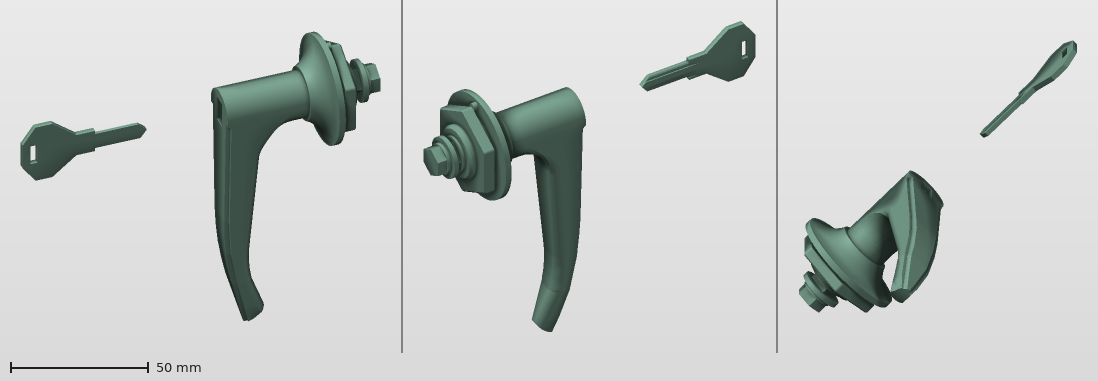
import cadquery as cq
import math


BELL_FRONT_Y = 31.7
FLANGE_FRONT_Y = 38.8
FLANGE_BACK_Y = 41.1
NUT_FRONT_Y = 43.0
NUT_BACK_Y = 47.1
BARREL_END_Y = 49.8
COLLAR_END_Y = 50.8
SQUARE_END_Y = 53.3
WASHER_BACK_Y = 55.1
HEAD_FRONT_Y = 56.6
HEAD_BACK_Y = 60.5

HUB_R = 8.9
ARM_BACK_Y = 25.6
ELBOW_R = 12.3
ELBOW_TRIM_GAP = 0.03
BACK_SLOPE = 4.1
BACK_BEND_Y, BACK_BEND_Z = 10.1, -61.0
BACK_BEND_MID_Y, BACK_BEND_MID_Z = 10.3, -68.1
TIP_BEND_Z = -75.8
BACK_LOWER_Y = 11.5
TIP_BACK_Y, TIP_BACK_Z = 16.9, -89.6
TIP_END_MID_Y, TIP_END_MID_Z = 13.7, -93.3
TIP_FRONT_Y, TIP_FRONT_Z = 9.2, -96.1
TIP_APEX_Z = -96.5
FRONT_BEND_Z = -45.9
FRONT_BEND_MID_Y, FRONT_BEND_MID_Z = 1.0, -61.0
FRONT_LOWER_Y = 3.7
TIP_BEND_HALF_W = 5.9
TIP_TAPER_Z, TIP_TAPER_HALF_W = -88.3, 4.0
TIP_ROUND_Z, TIP_ROUND_HALF_W = -93.6, 2.6
BACK_EDGE_R = 3.4
LEDGE_W = 2.0
LEDGE_DEPTH = 1.4
LEDGE_TOP_Z = -2.2
LEDGE_START_Z, LEDGE_START_DEPTH = -1.1, 0.1
LEDGE_WALL_W = 0.8
KEYHOLE_W, KEYHOLE_H, KEYHOLE_DEPTH = 5.6, 10.0, 1.2
KEYWAY_W, KEYWAY_H, KEYWAY_DEPTH = 2.2, 6.6, 21.9

SPINDLE_R = 7.0
SQUARE_SIDE = 8.1
BOLT_R = 3.0
BOLT_HOLE_DEPTH = 8.2

FLANGE_R = 21.0
BELL_FRONT_R = 10.3
BELL_MID_R, BELL_MID_Y = 14.8, 37.0
NECK_R = 13.6
BARREL_R = 10.5
BARREL_CHAMFER = 1.0
PIN_R = 1.5
PIN_Z = 18.4

NUT_FLATS = 32.1
NUT_EDGE_R = 1.2
NUT_CHAMFER = 0.5
WASHER_R = 8.1
BOLT_FLATS = 10.1
BOLT_COLLAR_R = 6.0

KEY_T = 2.0
KEY_TIP_Y = -28.5
BLADE_TOP_Y = -32.0
BLADE_BOTTOM_Y = -31.0
BLADE_HALF_H = 3.2
SHOULDER_Y = -48.5
SHOULDER_HALF_H = 4.5
BOW_NECK_Y = -55.8
BOW_WIDE_Y = -65.1
BOW_CORNER_Y = -71.7
BOW_HALF_H = 11.9
KEY_END_Y = HEAD_BACK_Y - 137
BOW_END_HALF_H = 5.1
BOW_SLOT_Y, BOW_SLOT_W, BOW_SLOT_H = -72.2, 2.6, 8.0
RIB_TOP_Z, RIB_BOTTOM_Z = 1.5, -1.0
RELIEF_TOP_Z, RELIEF_BOTTOM_Z = 2.7, -3.5
RELIEF_DEPTH = 0.4
RELIEF_RUNOUT_MID_DEPTH = 0.3
RELIEF_END_Y = -52.1


def at_y(y):
    """Workplane across the spindle at station y; local x is X and local y is Z."""
    return cq.Workplane("XZ", origin=(0, y, 0))


def cylinder(radius, start, end):
    return at_y(start).circle(radius).extrude(start - end)


def hexagon(flats, start, end):
    """Hexagonal prism with one corner toward +Z."""
    corners = flats / math.cos(math.radians(30))
    return at_y(start).transformed(rotate=(0, 0, 90)).polygon(6, corners).extrude(start - end)


def side_outline():
    """Profile of the arm in the YZ plane, drawn from the hub down to the tip."""
    slope = math.radians(BACK_SLOPE)
    elbow_y, elbow_z = ARM_BACK_Y, -HUB_R - ELBOW_R

    def on_elbow(angle):
        return elbow_y - ELBOW_R * math.sin(angle), elbow_z + ELBOW_R * math.cos(angle)

    elbow_end = math.pi / 2 - slope
    return (
        cq.Workplane("YZ")
        .moveTo(0, 0)
        .lineTo(ARM_BACK_Y, 0)
        .lineTo(*on_elbow(0))
        .threePointArc(on_elbow(elbow_end / 2), on_elbow(elbow_end))
        .lineTo(BACK_BEND_Y, BACK_BEND_Z)
        .threePointArc((BACK_BEND_MID_Y, BACK_BEND_MID_Z), (BACK_LOWER_Y, TIP_BEND_Z))
        .lineTo(TIP_BACK_Y, TIP_BACK_Z)
        .threePointArc((TIP_END_MID_Y, TIP_END_MID_Z), (TIP_FRONT_Y, TIP_FRONT_Z))
        .lineTo(FRONT_LOWER_Y, TIP_BEND_Z)
        .threePointArc((FRONT_BEND_MID_Y, FRONT_BEND_MID_Z), (0, FRONT_BEND_Z))
        .close()
    )


def arm_outline(end_half_w, end_z):
    """Corners of the tapered arm in the XZ plane, right side downward and left side upward."""
    right = [
        (HUB_R, 0),
        (TIP_BEND_HALF_W, TIP_BEND_Z),
        (TIP_TAPER_HALF_W, TIP_TAPER_Z),
        (end_half_w, end_z),
    ]
    left = [(-x, z) for x, z in reversed(right)]
    return right, left


def arm_front():
    """Prism of the arm outline with its rounded tip, running along the spindle."""
    right, left = arm_outline(TIP_ROUND_HALF_W, TIP_ROUND_Z)
    outline = at_y(0).polyline(right).threePointArc((0, TIP_APEX_Z), left[0])
    return outline.polyline(left[1:], includeCurrent=True).close().extrude(-ARM_BACK_Y)


def arm_blank():
    """Arm with tapering sides and rounded back edges, before its tip is rounded."""
    right, left = arm_outline(TIP_ROUND_HALF_W, TIP_APEX_Z)
    wedge = at_y(0).polyline(right + left).close().extrude(-ARM_BACK_Y)
    blank = side_outline().extrude(HUB_R, both=True).intersect(wedge)
    back_region = cq.selectors.BoxSelector((-HUB_R, TIP_FRONT_Y, TIP_BACK_Z), (HUB_R, ARM_BACK_Y, -HUB_R))
    return blank.edges(cq.selectors.StringSyntaxSelector("not |X") & back_region).fillet(BACK_EDGE_R)


def elbow_cutter():
    """Ring that trims the elbow to a round section growing out of the hub."""
    start_r = HUB_R + ELBOW_TRIM_GAP
    end_r = start_r + ELBOW_R
    mid = ELBOW_R * math.sin(math.pi / 4)
    return (
        cq.Workplane("XY")
        .moveTo(start_r, ARM_BACK_Y)
        .threePointArc((end_r - mid, ARM_BACK_Y - mid), (end_r, ARM_BACK_Y - ELBOW_R))
        .lineTo(end_r, ARM_BACK_Y)
        .close()
        .revolve(360, (0, 0, 0), (0, 1, 0))
    )


def ledge_cutter():
    """Material removed along the right front edge: a flat ledge with a sloping inner wall."""

    def section(half_w, front_y, z, depth):
        strip_x = half_w - LEDGE_W
        outer_x = half_w + LEDGE_W
        start_y = front_y - LEDGE_DEPTH
        floor_y = front_y + depth
        corners = [
            (strip_x - LEDGE_WALL_W, start_y),
            (outer_x, start_y),
            (outer_x, floor_y),
            (strip_x + LEDGE_WALL_W * depth / LEDGE_DEPTH, floor_y),
        ]
        return cq.Wire.makePolygon([cq.Vector(x, y, z) for x, y in corners], close=True)

    def side_x(z):
        return HUB_R + (TIP_BEND_HALF_W - HUB_R) * z / TIP_BEND_Z

    taper_fraction = (TIP_TAPER_Z - TIP_BEND_Z) / (TIP_FRONT_Z - TIP_BEND_Z)
    taper_y = FRONT_LOWER_Y + (TIP_FRONT_Y - FRONT_LOWER_Y) * taper_fraction
    stations = [
        section(side_x(LEDGE_START_Z), 0, LEDGE_START_Z, LEDGE_START_DEPTH),
        section(side_x(LEDGE_TOP_Z), 0, LEDGE_TOP_Z, LEDGE_DEPTH),
        section(side_x(FRONT_BEND_Z), 0, FRONT_BEND_Z, LEDGE_DEPTH),
        section(side_x(FRONT_BEND_MID_Z), FRONT_BEND_MID_Y, FRONT_BEND_MID_Z, LEDGE_DEPTH),
        section(TIP_BEND_HALF_W, FRONT_LOWER_Y, TIP_BEND_Z, LEDGE_DEPTH),
        section(TIP_TAPER_HALF_W, taper_y, TIP_TAPER_Z, LEDGE_DEPTH),
        section(TIP_ROUND_HALF_W, TIP_FRONT_Y, TIP_FRONT_Z, LEDGE_DEPTH),
    ]
    return cq.Workplane(cq.Solid.makeLoft(stations, True))


def make_handle():
    arm = arm_blank().cut(elbow_cutter()).intersect(arm_front())
    ledge = ledge_cutter()
    spindle = (
        cylinder(HUB_R, 0, BELL_FRONT_Y)
        .union(cylinder(SPINDLE_R, BELL_FRONT_Y, COLLAR_END_Y))
        .union(
            at_y(COLLAR_END_Y)
            .transformed(rotate=(0, 0, 45))
            .rect(SQUARE_SIDE, SQUARE_SIDE)
            .extrude(COLLAR_END_Y - SQUARE_END_Y)
        )
    )
    keyhole = at_y(0).rect(KEYHOLE_W, KEYHOLE_H).extrude(-KEYHOLE_DEPTH)
    keyway = at_y(0).rect(KEYWAY_W, KEYWAY_H).extrude(-KEYWAY_DEPTH)
    bolt_hole = cylinder(BOLT_R, SQUARE_END_Y - BOLT_HOLE_DEPTH, SQUARE_END_Y)
    body = spindle.union(arm).cut(ledge).cut(ledge.mirror("YZ"))
    return body.cut(keyhole).cut(keyway).cut(bolt_hole)


def make_rosette():
    body = (
        cq.Workplane("XY")
        .moveTo(SPINDLE_R, BELL_FRONT_Y)
        .lineTo(BELL_FRONT_R, BELL_FRONT_Y)
        .threePointArc((BELL_MID_R, BELL_MID_Y), (FLANGE_R, FLANGE_FRONT_Y))
        .lineTo(FLANGE_R, FLANGE_BACK_Y)
        .lineTo(NECK_R, FLANGE_BACK_Y)
        .lineTo(NECK_R, NUT_FRONT_Y)
        .lineTo(BARREL_R, NUT_FRONT_Y)
        .lineTo(BARREL_R, BARREL_END_Y - BARREL_CHAMFER)
        .lineTo(BARREL_R - BARREL_CHAMFER, BARREL_END_Y)
        .lineTo(SPINDLE_R, BARREL_END_Y)
        .close()
        .revolve(360, (0, 0, 0), (0, 1, 0))
    )
    pin = cylinder(PIN_R, FLANGE_BACK_Y, NUT_FRONT_Y).translate((0, 0, PIN_Z))
    return body.union(pin)


def make_nut():
    blank = hexagon(NUT_FLATS, NUT_FRONT_Y, NUT_BACK_Y).edges("|Y").fillet(NUT_EDGE_R)
    blank = blank.faces(">Y").edges().chamfer(NUT_CHAMFER)
    return blank.cut(cylinder(BARREL_R, NUT_FRONT_Y, NUT_BACK_Y))


def make_washer():
    return cylinder(WASHER_R, SQUARE_END_Y, WASHER_BACK_Y).cut(cylinder(BOLT_R, SQUARE_END_Y, WASHER_BACK_Y))


def make_bolt():
    return (
        hexagon(BOLT_FLATS, HEAD_FRONT_Y, HEAD_BACK_Y)
        .union(cylinder(BOLT_COLLAR_R, WASHER_BACK_Y, HEAD_FRONT_Y))
        .union(cylinder(BOLT_R, SQUARE_END_Y - BOLT_HOLE_DEPTH, WASHER_BACK_Y))
    )


def key_outline():
    """Key profile in the YZ plane, with the blade pointing toward the handle."""
    upper_bow = [
        (SHOULDER_Y, SHOULDER_HALF_H),
        (BOW_NECK_Y, SHOULDER_HALF_H),
        (BOW_WIDE_Y, BOW_HALF_H),
        (BOW_CORNER_Y, BOW_HALF_H),
        (KEY_END_Y, BOW_END_HALF_H),
    ]
    lower_bow = [(y, -z) for y, z in reversed(upper_bow)]
    upper_blade = [(KEY_TIP_Y, 0), (BLADE_TOP_Y, BLADE_HALF_H), (SHOULDER_Y, BLADE_HALF_H)]
    lower_blade = [(SHOULDER_Y, -BLADE_HALF_H), (BLADE_BOTTOM_Y, -BLADE_HALF_H)]
    return cq.Workplane("YZ").polyline(upper_blade + upper_bow + lower_bow + lower_blade).close()


def key_relief(bottom, top):
    """Shallow sunk strip on the -X side of the blade, with a curved run-out in the shoulder."""
    face_x = -KEY_T / 2
    return (
        cq.Workplane("XY", origin=(0, 0, bottom))
        .moveTo(face_x, KEY_TIP_Y)
        .lineTo(face_x + RELIEF_DEPTH, KEY_TIP_Y)
        .lineTo(face_x + RELIEF_DEPTH, SHOULDER_Y)
        .threePointArc(
            (face_x + RELIEF_RUNOUT_MID_DEPTH, (SHOULDER_Y + RELIEF_END_Y) / 2), (face_x, RELIEF_END_Y)
        )
        .close()
        .extrude(top - bottom)
    )


def key_edge_bevel():
    """Bevel between the upper relief and the top edge of the blade."""
    floor_x = RELIEF_DEPTH - KEY_T / 2
    bevel = BLADE_HALF_H - RELIEF_TOP_Z
    return (
        cq.Workplane("XZ", origin=(0, KEY_TIP_Y, 0))
        .polyline(
            [
                (-KEY_T / 2, RELIEF_TOP_Z),
                (floor_x, RELIEF_TOP_Z),
                (floor_x + bevel, BLADE_HALF_H),
                (-KEY_T / 2, BLADE_HALF_H),
            ]
        )
        .close()
        .extrude(KEY_TIP_Y - SHOULDER_Y)
    )


def make_key():
    bow_slot = cq.Workplane("YZ").center(BOW_SLOT_Y, 0).rect(BOW_SLOT_W, BOW_SLOT_H).extrude(KEY_T, both=True)
    return (
        key_outline()
        .extrude(KEY_T / 2, both=True)
        .cut(bow_slot)
        .cut(key_relief(RIB_TOP_Z, RELIEF_TOP_Z))
        .cut(key_relief(RELIEF_BOTTOM_Z, RIB_BOTTOM_Z))
        .cut(key_edge_bevel())
    )


handle = make_handle()
rosette = make_rosette()
nut = make_nut()
washer = make_washer()
bolt = make_bolt()
key = make_key()

bodies = [handle, rosette, nut, washer, bolt, key]
result = cq.Compound.makeCompound([body.val() for body in bodies])